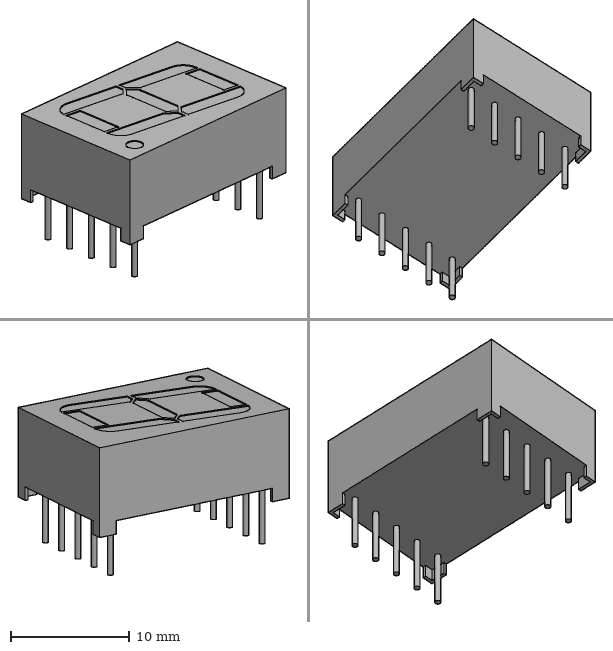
import cadquery as cq
import math

body_width = 12.7
body_length = 19.05
body_height = 8.0
total_height = 12.0

foot_height = 1.2
foot_width = 1.09
foot_length = 1.68
rim_thickness = 0.3

pin_diameter = 0.51
pin_pitch = 2.53
pins_per_row = 5
row_count = 2
row_spacing = 15.24

recess_depth = 0.1
slant_angle = 8.0
slant = math.tan(math.radians(slant_angle))
digit_center_x = -0.2
digit_width = 8.1
digit_height = 14.23
digit_corner_radius = 1.5
stroke = 1.5
bar_length = 4.48
segment_gap = 0.29
center_gap = 0.35
middle_length = 6.05
dot_diameter = 1.5
dot_x = 4.6

floor_z = foot_height
pin_tip_z = body_height - total_height
recess_floor_z = body_height - recess_depth


def slanted(x, y):
    """Place a point of the upright digit on the leaning digit."""
    return (digit_center_x + x + y * slant, y)


def recess(points):
    """Solid that cuts a recess of the given outline into the display face."""
    return cq.Workplane("XY", origin=(0, 0, recess_floor_z)).polyline(points).close().extrude(recess_depth)


def underside_cutter(width, length):
    """Centered block that removes material from the mounting plane up to the floor."""
    return cq.Workplane("XY").box(width, length, floor_z, centered=(True, True, False))


def make_body():
    """Block with a thin rim below its floor, notched on each side so that only the corners remain."""
    block = cq.Workplane("XY").box(body_width, body_length, body_height, centered=(True, True, False))
    inside_rim = underside_cutter(body_width - 2 * rim_thickness, body_length - 2 * rim_thickness)
    gap_along_x = underside_cutter(body_width - 2 * foot_width, body_length)
    gap_along_y = underside_cutter(body_width, body_length - 2 * foot_length)
    return block.cut(inside_rim).cut(gap_along_x).cut(gap_along_y)


def make_pins():
    return (
        cq.Workplane("XY", origin=(0, 0, pin_tip_z))
        .rarray(pin_pitch, row_spacing, pins_per_row, row_count)
        .circle(pin_diameter / 2)
        .extrude(floor_z - pin_tip_z)
    )


def rounded_digit():
    """Leaning outline of the whole digit, with rounded corners."""
    half_width = digit_width / 2
    half_height = digit_height / 2
    corners = [
        slanted(-half_width, -half_height),
        slanted(half_width, -half_height),
        slanted(half_width, half_height),
        slanted(-half_width, half_height),
    ]
    return recess(corners).edges("|Z").fillet(digit_corner_radius)


def horizontal_bar(side):
    """Top (side = 1) or bottom (side = -1) segment."""
    outer_y = side * digit_height / 2
    inner_y = side * (digit_height / 2 - stroke)
    half_length = bar_length / 2
    return recess([
        slanted(-half_length, outer_y),
        slanted(half_length, outer_y),
        slanted(half_length, inner_y),
        slanted(-half_length, inner_y),
    ])


def middle_bar():
    """Middle segment, pointed at 45 degrees at both ends."""
    tip = middle_length / 2
    half_stroke = stroke / 2
    shoulder = tip - half_stroke
    outline = [
        (-tip, 0),
        (-shoulder, half_stroke),
        (shoulder, half_stroke),
        (tip, 0),
        (shoulder, -half_stroke),
        (-shoulder, -half_stroke),
    ]
    return recess([(digit_center_x + x, y) for x, y in outline])


def upright_bar(digit, side_x, side_y):
    """One of the four upright segments, cut back parallel to the tips of the middle segment."""
    inner_x = bar_length / 2 + segment_gap
    outer_x = digit_width / 2
    end_y = center_gap / 2
    diagonal = middle_length / 2 + segment_gap * math.sqrt(2)
    lean = side_x * side_y * slant
    bevel_y = (diagonal - inner_x) / (1 + lean)
    bevel_end = (digit_center_x + side_x * (diagonal - end_y), side_y * end_y)
    envelope = recess([
        slanted(side_x * inner_x, side_y * digit_height / 2),
        slanted(side_x * inner_x, side_y * bevel_y),
        bevel_end,
        slanted(side_x * outer_x, side_y * end_y),
        slanted(side_x * outer_x, side_y * digit_height / 2),
    ])
    return digit.intersect(envelope)


def decimal_point():
    dot_y = -digit_height / 2
    return (
        cq.Workplane("XY", origin=(dot_x, dot_y, recess_floor_z))
        .circle(dot_diameter / 2)
        .extrude(recess_depth)
    )


result = make_body().union(make_pins())

result = result.cut(middle_bar()).cut(decimal_point())
whole_digit = rounded_digit()
for side_y in (-1, 1):
    result = result.cut(horizontal_bar(side_y))
    for side_x in (-1, 1):
        result = result.cut(upright_bar(whole_digit, side_x, side_y))